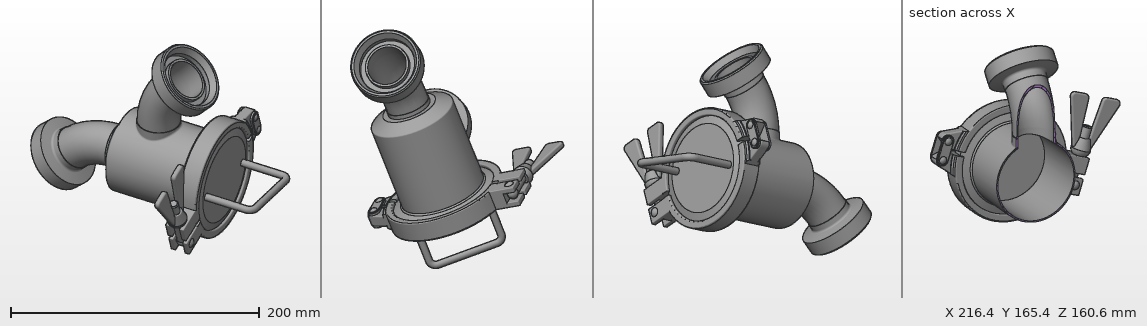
import cadquery as cq
import math


OVERALL_LENGTH = 216.4

BODY_R = 35.0
WALL = 1.5
CAP_FACE_X = -36.1
CAP_FACE_R = 22.5
CAP_LENGTH = 6.5
CAP_EDGE_FILLET = 1.3
BODY_END_X = 42.5

PIPE_R = 17.5
BORE_R = 16.0
STUB_R = 18.0
STUB_WELD_FILLET = 1.5
BRANCH_STUB_END = 38.7
CAP_STUB_END = 39.5
BEND_R = 55.0
BEND_ANGLE = 42.5

NUT_R = 29.0
NUT_BACK = 8.2
NUT_LENGTH = 13.5
NUT_BACK_RISE = 1.5
NUT_EDGE = 1.0
NECK_FILLET = 2.0
RECESS_MOUTH_R = 26.0
RECESS_FLOOR_R = 23.0
RECESS_DEPTH = 5.6
LINER_R = 18.0
LINER_GROOVE_DEPTH = 4.5

CLAMP_X = 51.7
CLAMP_WIDTH = 16.9
CLAMP_R = 49.3
CLAMP_OPENING_R = 43.0
CLAMP_EDGE_FILLET = 1.0
CLAMP_TILT = 18.0
CLAMP_GAP = 4.0
FERRULE_R = 45.55
FERRULE_ROOT_R = 36.4
FERRULE_ROOT_X = 8.0
FERRULE_RIM_X = 5.0

LUG_END = 68.2
LUG_TOP = 15.8
LUG_FILLET = 0.6
BOLT_U = 62.0
BOLT_R = 4.0
BOLT_TOP = 40.2
BOLT_CHAMFER = 0.9
BOLT_PIN_V = -7.8
BOLT_EYE_R = 4.5
FORK_WIDTH = 8.5
PIN_SHANK_R = 2.4
BOLT_PIN_HEAD_R = 3.79
BOLT_PIN_DOME = 2.0
NUT_SEAT_R = 5.8
NUT_BELLY_R = 8.2
NUT_BELLY_V = 20.8
NUT_TOP_R = 5.6
NUT_TOP_V = 30.3
NUT_TOP_FILLET = 0.9
WING_THICKNESS = 4.8
WING_ROOT_V = 19.3
WING_TOP_V = 66.0
WING_FILLET = 1.5
WING_CORNER_FILLET = 3.5

HINGE_U = -60.4
HINGE_PIN_V = 8.0
HINGE_LUG_WIDTH = 9.5
HINGE_LUG_FILLET = 1.0
HINGE_CORNER_R = 4.8
LINK_THICKNESS = 2.4
LINK_R = 5.0
LINK_EDGE = 0.6
HINGE_PIN_HEAD_R = 3.2
HINGE_PIN_DOME = 1.7
HINGE_ROOT_WIDTH = 14.3
HINGE_ROOT_R = 52.4
HINGE_ROOT_CHAMFER = 1.3

ROD_R = 3.0
HANDLE_HALF_SPAN = 31.0
HANDLE_CORNER_R = 5.8
HANDLE_TILT = -5.0


def revolve_about_x(points):
    """Revolves an outline of (x, radius) points about the X axis."""
    return cq.Workplane("XY").polyline(points).close().revolve(360, (0, 0, 0), (1, 0, 0))


def revolve_about_z(points):
    """Revolves an outline of (radius, z) points about the Z axis."""
    return cq.Workplane("XZ").polyline(points).close().revolve(360, (0, 0, 0), (0, 1, 0))


def to_bend_end(solid, start):
    """Moves a solid on the Z axis to the far end of a bend that begins at height start."""
    angle = math.radians(BEND_ANGLE)
    reach = BEND_R * (1 - math.cos(angle))
    height = start + BEND_R * math.sin(angle)
    return solid.rotate((0, 0, 0), (0, 1, 0), BEND_ANGLE).translate((reach, 0, height))


def bend(radius, start):
    """A solid round bar bent from +Z towards +X."""
    return (
        cq.Workplane("XY").workplane(offset=start).circle(radius)
        .revolve(BEND_ANGLE, (BEND_R, 0, 0), (BEND_R, 1, 0))
    )


def elbow(start):
    """Outside of an elbow with its weld neck and union nut."""
    face = NUT_BACK + NUT_LENGTH
    root = NUT_BACK - NUT_BACK_RISE
    nut = (
        cq.Workplane("XZ").lineTo(STUB_R, 0).lineTo(STUB_R, root - NECK_FILLET)
        .radiusArc((STUB_R + NECK_FILLET, root), NECK_FILLET)
        .lineTo(NUT_R, NUT_BACK).lineTo(NUT_R, face - NUT_EDGE).lineTo(NUT_R - NUT_EDGE, face)
        .lineTo(0, face).close().revolve(360, (0, 0, 0), (0, 1, 0))
    )
    return bend(PIPE_R, start).union(to_bend_end(nut, start))


def elbow_bore(start, inner_end):
    """Void of an elbow, from inside the chamber to the recess in the union nut."""
    face = NUT_BACK + NUT_LENGTH
    floor = face - RECESS_DEPTH
    mouth = revolve_about_z([
        (0, 0),
        (BORE_R, 0),
        (BORE_R, floor),
        (LINER_R, floor),
        (LINER_R, floor - LINER_GROOVE_DEPTH),
        (RECESS_FLOOR_R, floor - LINER_GROOVE_DEPTH),
        (RECESS_FLOOR_R, floor),
        (RECESS_MOUTH_R, face),
        (0, face),
    ])
    straight = cq.Workplane("XY").workplane(offset=inner_end).circle(BORE_R).extrude(start - inner_end)
    return straight.union(bend(BORE_R, start)).union(to_bend_end(mouth, start))


def onto_cap(solid):
    """Turns an elbow from the Z axis onto the -X axis, bending downwards."""
    return solid.rotate((0, 0, 0), (0, 1, 0), -90).rotate((0, 0, 0), (1, 0, 0), 180)


def body():
    """Outside of the body with its coned cap and the two welded stubs."""
    shoulder_x = CAP_FACE_X + CAP_LENGTH
    shell = revolve_about_x([
        (CAP_FACE_X, 0),
        (CAP_FACE_X, CAP_FACE_R),
        (shoulder_x, BODY_R),
        (BODY_END_X, BODY_R),
        (BODY_END_X, 0),
    ])
    shell = shell.edges(cq.selectors.BoxSelector(
        (shoulder_x - 0.2, -BODY_R - 2.2, -BODY_R - 2.2),
        (shoulder_x + 0.2, BODY_R + 2.2, BODY_R + 2.2),
        boundingbox=True,
    )).fillet(CAP_EDGE_FILLET)
    branch = cq.Workplane("XY").circle(STUB_R).extrude(BRANCH_STUB_END)
    shell = shell.union(branch)
    shell = shell.edges(cq.selectors.BoxSelector(
        (-STUB_R - 0.2, -STUB_R - 0.2, 2.2),
        (STUB_R + 0.2, STUB_R + 0.2, BODY_R + 0.2),
        boundingbox=True,
    )).fillet(STUB_WELD_FILLET)
    cap_stub = cq.Workplane("YZ").circle(STUB_R).extrude(-CAP_STUB_END)
    return shell.union(cap_stub)


def chamber():
    """Void of the body, closed by the lid at the middle of the clamp."""
    shoulder_x = CAP_FACE_X + CAP_LENGTH
    return revolve_about_x([
        (CAP_FACE_X + WALL, 0),
        (CAP_FACE_X + WALL, CAP_FACE_R - WALL),
        (shoulder_x + WALL / 2, BODY_R - WALL),
        (CLAMP_X, BODY_R - WALL),
        (CLAMP_X, 0),
    ])


def ferrules():
    """The body ferrule and the lid, which meet at the middle of the clamp."""
    return revolve_about_x([
        (BODY_END_X, 0),
        (BODY_END_X, BODY_R),
        (CLAMP_X - FERRULE_ROOT_X, FERRULE_ROOT_R),
        (CLAMP_X - FERRULE_RIM_X, FERRULE_R),
        (CLAMP_X + FERRULE_RIM_X, FERRULE_R),
        (CLAMP_X + FERRULE_ROOT_X, FERRULE_ROOT_R),
        (CLAMP_X + FERRULE_ROOT_X, 0),
    ])



def clamp_plane(x=0):
    """The plane with coordinates (u, v), whose normal is -X, at a given X."""
    return cq.Workplane(cq.Plane((x, 0, 0), (0, -1, 0), (-1, 0, 0)))


def plate(outline, width):
    """Extrudes a closed (u, v) outline to a width centred on X = 0."""
    return clamp_plane().polyline(outline).close().extrude(width / 2, both=True)


def clamp_ring():
    """The full ring before it is split into halves."""
    blank = clamp_plane(CLAMP_WIDTH / 2).circle(CLAMP_R).circle(CLAMP_OPENING_R).extrude(CLAMP_WIDTH)
    return blank.faces("<X or >X").edges().fillet(CLAMP_EDGE_FILLET)


def bolt_lugs():
    """A forked lug on each clamp half."""
    outline = [
        (CLAMP_OPENING_R + 2.5, CLAMP_GAP / 2),
        (LUG_END, CLAMP_GAP / 2),
        (LUG_END, LUG_TOP),
        (CLAMP_OPENING_R + 2.5, LUG_TOP),
    ]
    slot_u = BOLT_U - FORK_WIDTH / 2
    slot = cq.Workplane("XY").box(FORK_WIDTH, LUG_END, 4 * LUG_TOP).translate((0, -slot_u - LUG_END / 2, 0))
    lug = plate(outline, CLAMP_WIDTH).cut(slot).edges("<Y or |Y").fillet(LUG_FILLET)
    return lug.union(lug.mirror("XY"))


def domed_pin(u, v, head_r, dome, length):
    """A pin along X with a domed head outside each end of its length."""
    half = length / 2
    dome_r = (head_r**2 + dome**2) / (2 * dome)
    profile = (
        cq.Workplane("XY").moveTo(-half - dome, 0)
        .radiusArc((-half, head_r), dome_r).lineTo(-half, PIN_SHANK_R)
        .lineTo(half, PIN_SHANK_R).lineTo(half, head_r)
        .radiusArc((half + dome, 0), dome_r).close()
    )
    return profile.revolve(360, (0, 0, 0), (1, 0, 0)).translate((0, -u, v))


def swing_bolt():
    """The bolt with its round eye and the pin it swings on."""
    shank = (
        cq.Workplane("XY").workplane(offset=BOLT_PIN_V).circle(BOLT_R).extrude(BOLT_TOP - BOLT_PIN_V)
        .faces(">Z").chamfer(BOLT_CHAMFER)
    )
    eye = cq.Workplane("XY").sphere(BOLT_EYE_R).translate((0, 0, BOLT_PIN_V))
    pin = domed_pin(BOLT_U, BOLT_PIN_V, BOLT_PIN_HEAD_R, BOLT_PIN_DOME, CLAMP_WIDTH)
    return shank.union(eye).translate((0, -BOLT_U, 0)).union(pin)


def wing_nut():
    """A coned hub with two flared wings."""
    belly = (NUT_BELLY_R - 0.6, (LUG_TOP + NUT_BELLY_V) / 2)
    hub = (
        cq.Workplane("XZ").moveTo(0, LUG_TOP).lineTo(NUT_SEAT_R, LUG_TOP)
        .threePointArc(belly, (NUT_BELLY_R, NUT_BELLY_V))
        .lineTo(NUT_TOP_R, NUT_TOP_V).lineTo(0, NUT_TOP_V).close()
        .revolve(360, (0, 0, 0), (0, 1, 0))
        .faces(">Z").edges().fillet(NUT_TOP_FILLET)
    )
    wing_outline = [(7.1, WING_ROOT_V), (24.0, WING_TOP_V), (6.7, WING_TOP_V), (3.7, WING_ROOT_V)]
    above_root = cq.selectors.BoxSelector((-19.5, 0, WING_ROOT_V + 0.2), (19.5, 43.3, WING_TOP_V + 2.2))
    at_tip = cq.selectors.BoxSelector((-19.5, 0, WING_TOP_V - 0.2), (19.5, 43.3, WING_TOP_V + 2.2))
    wing = (
        cq.Workplane("YZ").polyline(wing_outline).close().extrude(WING_THICKNESS / 2, both=True)
        .edges("|X").edges(at_tip).fillet(WING_CORNER_FILLET)
        .faces("<X or >X").edges(above_root).fillet(WING_FILLET)
    )
    nut = hub.union(wing).union(wing.mirror("XZ"))
    return nut.translate((0, -BOLT_U, 0))


def hinge():
    """A lug on each clamp half, the two links beside them and the hinge pins."""
    lug_outline = [
        (-46.3, CLAMP_GAP / 2),
        (-57.1, CLAMP_GAP / 2),
        (-65.8, 8.7),
        (-65.8, 12.3),
        (-44.8, 19.7),
    ]
    lug = (
        plate(lug_outline, HINGE_LUG_WIDTH)
        .edges("|X").edges(cq.selectors.BoxSelector((-19.5, 65, 10.8), (19.5, 67, 13))).fillet(HINGE_CORNER_R)
        .faces("<X or >X").edges(">Y or >Z").fillet(HINGE_LUG_FILLET)
    )
    root_disc = clamp_plane(HINGE_ROOT_WIDTH / 2).circle(HINGE_ROOT_R).extrude(HINGE_ROOT_WIDTH)
    root_disc = root_disc.edges().chamfer(HINGE_ROOT_CHAMFER)
    lug = lug.union(plate(lug_outline, HINGE_ROOT_WIDTH).intersect(root_disc))
    lugs = lug.union(lug.mirror("XY"))
    link_width = HINGE_LUG_WIDTH + 2 * LINK_THICKNESS
    links = (
        clamp_plane(link_width / 2).center(HINGE_U, 0)
        .slot2D(2 * (HINGE_PIN_V + LINK_R), 2 * LINK_R, 90).extrude(link_width)
        .faces("<X or >X").edges().chamfer(LINK_EDGE)
    )
    between = cq.Workplane("XY").box(HINGE_LUG_WIDTH, 17.3, 43.3).translate((0, -HINGE_U, 0))
    links = links.cut(between)
    solid = lugs.union(links)
    for side in (-1, 1):
        solid = solid.union(domed_pin(HINGE_U, side * HINGE_PIN_V, HINGE_PIN_HEAD_R, HINGE_PIN_DOME, link_width))
    return solid


def clamp():
    """The split ring with its bolt and hinge, tilted and set around the ferrules."""
    gap = cq.Workplane("XY").box(2 * CLAMP_WIDTH, 3 * CLAMP_R, CLAMP_GAP)
    solid = clamp_ring().cut(gap).union(bolt_lugs())
    for piece in (swing_bolt(), wing_nut(), hinge()):
        solid = solid.union(piece)
    return solid.rotate((0, 0, 0), (1, 0, 0), CLAMP_TILT).translate((CLAMP_X, 0, 0))


def handle_end_x():
    """Far end of the handle, set by the overall length from the rim of the cap elbow's nut."""
    angle = math.radians(BEND_ANGLE)
    rim = (NUT_BACK + NUT_LENGTH) * math.cos(angle) + (NUT_R - NUT_EDGE) * math.sin(angle)
    return OVERALL_LENGTH - CAP_STUB_END - BEND_R * math.sin(angle) - rim


def handle():
    """A bent rod with both legs set into the lid."""
    end_x = handle_end_x() - ROD_R
    path = (
        cq.Workplane("XY").moveTo(CLAMP_X + 4.3, -HANDLE_HALF_SPAN)
        .lineTo(end_x - HANDLE_CORNER_R, -HANDLE_HALF_SPAN)
        .radiusArc((end_x, -HANDLE_HALF_SPAN + HANDLE_CORNER_R), -HANDLE_CORNER_R)
        .lineTo(end_x, HANDLE_HALF_SPAN - HANDLE_CORNER_R)
        .radiusArc((end_x - HANDLE_CORNER_R, HANDLE_HALF_SPAN), -HANDLE_CORNER_R)
        .lineTo(CLAMP_X + 4.3, HANDLE_HALF_SPAN)
    )
    rod = (
        cq.Workplane("YZ", origin=(CLAMP_X + 4.3, -HANDLE_HALF_SPAN, 0)).circle(ROD_R).sweep(path)
    )
    return rod.rotate((0, 0, 0), (1, 0, 0), HANDLE_TILT)


outside = body().union(ferrules())
outside = outside.union(elbow(BRANCH_STUB_END)).union(onto_cap(elbow(CAP_STUB_END)))
voids = chamber().union(elbow_bore(BRANCH_STUB_END, BORE_R))
voids = voids.union(onto_cap(elbow_bore(CAP_STUB_END, -CAP_FACE_X - 2 * WALL)))
result = outside.cut(voids).union(clamp()).union(handle())